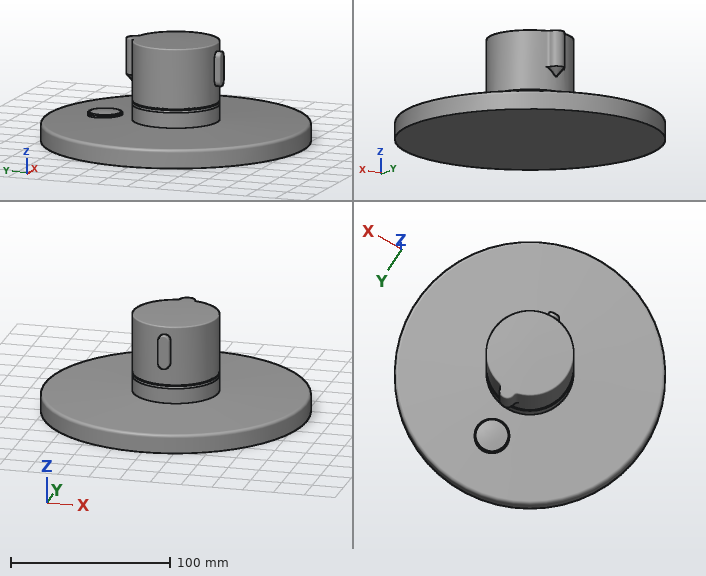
import cadquery as cq
import math

plate_radius = 85.0
rim_fillet = 2.0
rim_height = 12.2
cone_height = 13.8

knob_radius = 27.5
collar_top = 25.0
collar_chamfer = 1.4
collar_chamfer_width = 0.5
neck_radius = 25.5
knob_bottom = 26.0
knob_top = 65.0
knob_dome_rise = 0.5
knob_edge_fillet = 0.8

lobe_radius = 5.1
lobe_tip = 33.1
lobe_blend_radius = 2.5
lobe_bottom = 41.0
lobe_taper_height = 5.6
lobe_taper_inset = 5.0

tab_width = 7.5
tab_bottom = 37.0
tab_top = 59.5
tab_reach = 31.1
tab_fillet = 0.8

button_offset = 47.6
button_radius = 11.0
button_cap_radius = 10.2
button_edge_height = 14.3
button_shoulder_height = 15.1
button_top = 16.0


def make_plate():
    edge_radius = plate_radius - rim_fillet
    arc_reach = rim_fillet * math.sqrt(0.5)
    return (
        cq.Workplane("XZ")
        .lineTo(plate_radius, 0)
        .lineTo(plate_radius, rim_height - rim_fillet)
        .threePointArc(
            (edge_radius + arc_reach, rim_height - rim_fillet + arc_reach),
            (edge_radius, rim_height),
        )
        .lineTo(knob_radius, cone_height)
        .lineTo(0, cone_height)
        .close()
        .revolve()
    )


def make_collar():
    return (
        cq.Workplane("XZ")
        .lineTo(knob_radius, 0)
        .lineTo(knob_radius, collar_top - collar_chamfer)
        .lineTo(knob_radius - collar_chamfer_width, collar_top)
        .lineTo(neck_radius, collar_top)
        .lineTo(neck_radius, knob_bottom)
        .lineTo(0, knob_bottom)
        .close()
        .revolve()
    )


def point_toward(start, target, distance):
    """Point at a distance from start along the line to target."""
    fraction = distance / math.dist(start, target)
    return (
        start[0] + (target[0] - start[0]) * fraction,
        start[1] + (target[1] - start[1]) * fraction,
    )


def mirrored(point):
    return (-point[0], point[1])


def knob_outline(inset=0):
    """Closed wire of a circle and a round lobe, joined by concave tangent arcs.

    An inset moves the whole outline inward by that distance.
    """
    round_radius = knob_radius - inset
    tip_radius = lobe_radius - inset
    blend_radius = lobe_blend_radius + inset
    knob_center = (0, 0)
    lobe_center = (0, lobe_tip - lobe_radius)

    to_knob = round_radius + blend_radius
    to_lobe = tip_radius + blend_radius
    blend_y = (to_knob**2 - to_lobe**2 + lobe_center[1] ** 2) / (2 * lobe_center[1])
    blend_center = (math.sqrt(to_knob**2 - blend_y**2), blend_y)

    on_knob = point_toward(knob_center, blend_center, round_radius)
    on_lobe = point_toward(lobe_center, blend_center, tip_radius)
    chord_middle = ((on_knob[0] + on_lobe[0]) / 2, (on_knob[1] + on_lobe[1]) / 2)
    on_blend = point_toward(blend_center, chord_middle, blend_radius)

    return (
        cq.Workplane("XY", origin=(0, 0, lobe_bottom))
        .moveTo(*on_knob)
        .threePointArc(on_blend, on_lobe)
        .threePointArc((0, lobe_tip - inset), mirrored(on_lobe))
        .threePointArc(mirrored(on_blend), mirrored(on_knob))
        .threePointArc((0, -round_radius), on_knob)
        .close()
    )


def make_knob():
    dome_radius = (knob_radius**2 + knob_dome_rise**2) / (2 * knob_dome_rise)
    dome = cq.Workplane("XY").sphere(dome_radius).translate((0, 0, knob_top - dome_radius))
    knob = knob_outline().extrude(knob_top - lobe_bottom).intersect(dome)
    knob = knob.faces(">Z").edges().fillet(knob_edge_fillet)

    upper_wire = knob_outline().val()
    lower_wire = knob_outline(lobe_taper_inset).val().translate(cq.Vector(0, 0, -lobe_taper_height))
    taper = cq.Workplane(cq.Solid.makeLoft([lower_wire, upper_wire], True))
    lobe_width = 2 * lobe_radius + lobe_blend_radius
    lobe_zone = (
        cq.Workplane("XY")
        .center(0, lobe_tip)
        .rect(lobe_width, knob_radius)
        .extrude(knob_top)
    )
    core = (
        cq.Workplane("XY", origin=(0, 0, knob_bottom))
        .circle(knob_radius)
        .extrude(lobe_bottom - knob_bottom)
    )
    return core.union(taper.intersect(lobe_zone)).union(knob)


def make_tab():
    tab_center = (tab_bottom + tab_top) / 2
    return (
        cq.Workplane("XZ", origin=(0, 0, tab_center))
        .slot2D(tab_top - tab_bottom, tab_width, 90)
        .extrude(tab_reach)
        .faces("<Y")
        .edges()
        .fillet(tab_fillet)
    )


def make_button():
    cap_rise = button_top - button_shoulder_height
    cap_sphere = (button_cap_radius**2 + cap_rise**2) / (2 * cap_rise)
    half_radius = button_cap_radius / 2
    half_height = button_top - cap_sphere + math.sqrt(cap_sphere**2 - half_radius**2)
    return (
        cq.Workplane("XZ")
        .lineTo(button_radius, 0)
        .lineTo(button_radius, button_edge_height)
        .lineTo(button_cap_radius, button_shoulder_height)
        .threePointArc((half_radius, half_height), (0, button_top))
        .close()
        .revolve()
        .translate((0, button_offset, 0))
    )


result = make_plate().union(make_collar()).union(make_knob()).union(make_tab()).union(make_button())